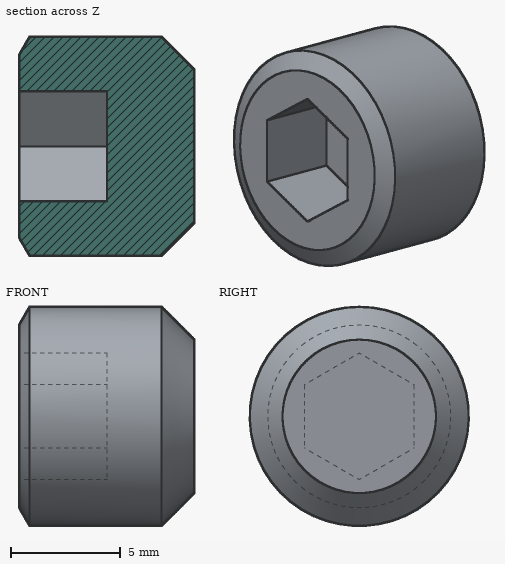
import cadquery as cq
import math

diameter = 10.0
length = 8.0

socket_end_diameter = 8.344
socket_chamfer_angle = 60.0

point_diameter = 7.0

hex_sides = 6
hex_across_flats = 5.0
hex_depth = 4.0

radius = diameter / 2
socket_end_radius = socket_end_diameter / 2
point_radius = point_diameter / 2
socket_chamfer_length = (radius - socket_end_radius) / math.tan(math.radians(socket_chamfer_angle))
point_chamfer_length = radius - point_radius
hex_across_corners = hex_across_flats / math.cos(math.pi / hex_sides)

socket_end_x = -length / 2
point_end_x = length / 2


def make_body():
    """Cylinder with both end chamfers, revolved about the X axis."""
    return (
        cq.Workplane("XZ")
        .moveTo(socket_end_x, 0)
        .lineTo(socket_end_x, socket_end_radius)
        .lineTo(socket_end_x + socket_chamfer_length, radius)
        .lineTo(point_end_x - point_chamfer_length, radius)
        .lineTo(point_end_x, point_radius)
        .lineTo(point_end_x, 0)
        .close()
        .revolve(360, (0, 0, 0), (1, 0, 0))
    )


def make_hex_socket():
    """Blind hexagonal prism that enters from the socket end."""
    return (
        cq.Workplane("YZ", origin=(socket_end_x, 0, 0))
        .transformed(rotate=(0, 0, 90))
        .polygon(hex_sides, hex_across_corners)
        .extrude(hex_depth)
    )


result = make_body().cut(make_hex_socket())